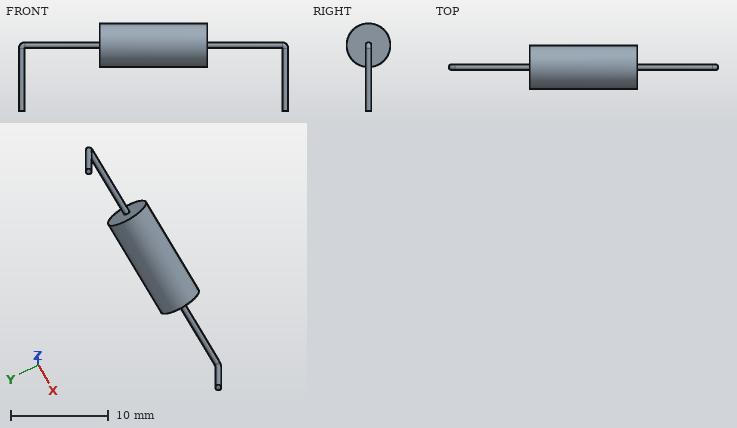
import cadquery as cq

overall_length = 27.6
overall_height = 9.0
body_diameter = 4.5
body_length = 11.05
lead_diameter = 0.6
inner_bend_radius = 0.03

lead_radius = lead_diameter / 2
bend_radius = lead_radius + inner_bend_radius
body_end = body_length / 2
leg_offset = overall_length / 2 - lead_radius
bend_start = leg_offset - bend_radius
leg_bottom = body_diameter / 2 - overall_height


def make_body():
    """Plain cylindrical body, centred on the origin."""
    return cq.Workplane("YZ", origin=(-body_end, 0, 0)).circle(body_diameter / 2).extrude(body_length)


def make_lead(angle):
    """Round wire from the body's +X end face, bent down, then turned about Z by angle."""
    centre_line = (
        cq.Workplane("XZ")
        .moveTo(body_end, 0)
        .lineTo(bend_start, 0)
        .tangentArcPoint((leg_offset, -bend_radius), relative=False)
        .lineTo(leg_offset, leg_bottom)
    )
    wire = cq.Workplane("YZ", origin=(body_end, 0, 0)).circle(lead_radius).sweep(centre_line)
    return wire.rotate((0, 0, 0), (0, 0, 1), angle)


body = make_body()
leads = [make_lead(angle) for angle in (0, 180)]

result = cq.Compound.makeCompound([body.val(), *[lead.val() for lead in leads]])